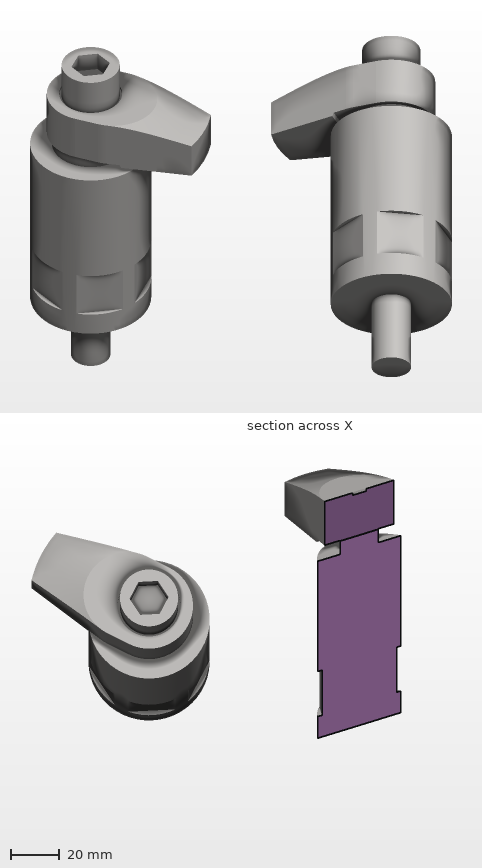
import cadquery as cq
import math

housing_diameter = 50.0
housing_height = 80.0
neck_diameter = 32.0
neck_height = 6.0
hexagon_sides = 6
across_flats = 46.0
flats_above_base = 10.0
flats_height = 20.1

head_height = 20.0
head_radius = 18.1
head_offset = 10.0
handle_reach = 50.0
handle_taper_angle = 10.5
handle_slope_angle = 15.0
handle_drop = 1.4
drop_start = 19.0
drop_run = 0.8
recess_diameter = 26.0
recess_depth = 1.0

shank_diameter = 16.3
shank_projection = 30.0
screw_head_diameter = 24.0
screw_head_projection = 15.0
socket_across_flats = 13.9
socket_depth = 8.0

neck_top = housing_height + neck_height
lever_top = neck_top + head_height
screw_head_base = lever_top - recess_depth
screw_top = lever_top + screw_head_projection


def cylinder(diameter, bottom, top):
    """Solid cylinder on the screw axis between two heights."""
    return cq.Workplane("XY").workplane(offset=bottom).circle(diameter / 2).extrude(top - bottom)


def hexagon_prism(width, bottom, top):
    """Hexagonal prism with one pair of its flats facing along X."""
    corner_circle = width / math.cos(math.pi / hexagon_sides)
    return (
        cq.Workplane("XY", origin=(0, 0, bottom))
        .transformed(rotate=(0, 0, 180 / hexagon_sides))
        .polygon(hexagon_sides, corner_circle)
        .extrude(top - bottom)
    )


def make_housing():
    housing = cylinder(housing_diameter, 0, housing_height)
    flats_top = flats_above_base + flats_height
    band = cylinder(housing_diameter, flats_above_base, flats_top)
    housing = housing.cut(band.cut(hexagon_prism(across_flats, flats_above_base, flats_top)))
    housing = housing.union(cylinder(neck_diameter, housing_height, neck_top))
    return housing.cut(cylinder(shank_diameter, 0, neck_top))


def make_lever_head():
    return (
        cq.Workplane("XY", origin=(head_offset / 2, 0, neck_top))
        .slot2D(head_offset + 2 * head_radius, 2 * head_radius)
        .extrude(head_height)
    )


def make_handle():
    taper = math.radians(handle_taper_angle)
    root_x = head_offset + head_radius * math.sin(taper)
    root_y = head_radius * math.cos(taper)
    tip_y = root_y - (handle_reach - root_x) * math.tan(taper)
    underside = neck_top - handle_drop
    handle = (
        cq.Workplane("XY", origin=(0, 0, underside))
        .polyline([(root_x, -root_y), (handle_reach, -tip_y), (handle_reach, tip_y), (root_x, root_y)])
        .close()
        .extrude(lever_top - underside)
    )
    handle = handle.intersect(cylinder(2 * handle_reach, underside, lever_top))

    cone_reach = handle_reach
    cone_fall = (cone_reach - head_radius) * math.tan(math.radians(handle_slope_angle))
    cone = (
        cq.Workplane("XZ", origin=(head_offset, 0, 0))
        .polyline([
            (0, underside),
            (cone_reach, underside),
            (cone_reach, lever_top - cone_fall),
            (head_radius, lever_top),
            (0, lever_top),
        ])
        .close()
        .revolve(360, (0, 0, 0), (0, 1, 0))
    )
    handle = handle.intersect(cone)

    clearance = (
        cq.Workplane("XZ")
        .polyline([
            (0, underside),
            (drop_start + drop_run, underside),
            (drop_start, neck_top),
            (0, neck_top),
        ])
        .close()
        .extrude(head_radius, both=True)
    )
    return handle.cut(clearance)


def make_lever():
    lever = make_lever_head().union(make_handle())
    lever = lever.cut(cylinder(shank_diameter, neck_top, lever_top))
    return lever.cut(cylinder(recess_diameter, screw_head_base, lever_top))


def make_screw():
    shank = cylinder(shank_diameter, -shank_projection, screw_head_base)
    screw = shank.union(cylinder(screw_head_diameter, screw_head_base, screw_top))
    return screw.cut(hexagon_prism(socket_across_flats, screw_top - socket_depth, screw_top))


housing = make_housing()
lever = make_lever()
screw = make_screw()

result = cq.Compound.makeCompound([housing.val(), lever.val(), screw.val()])